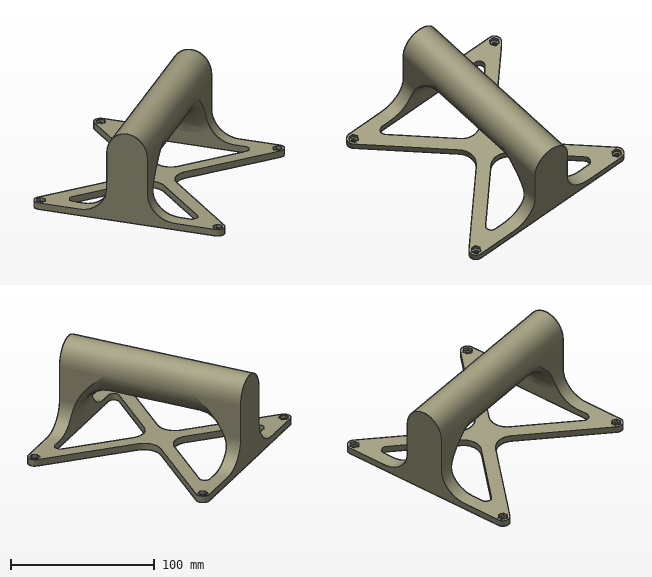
import cadquery as cq
import math

side = 140.0
height = 68.9

base_thickness = 5.0
corner_radius = 5.0
bar_width = 2 * corner_radius
crossing_radius = 12.6
window_corner_radius = 4.0

hole_diameter = 3.2
nut_across_flats = 6.0
nut_pocket_depth = 2.5

grip_width = 30.0
grip_height = 34.2
flare_radius = 20.0
grip_blend_radius = 25.0

half_side = side / 2
hole_offset = half_side - corner_radius
post_inner_y = half_side - bar_width
grip_center_z = height - grip_height / 2


def base_bar(length, angle, y=0):
    """Round-ended bar lying on the ground plane, turned about its own centre."""
    return (
        cq.Workplane("XY")
        .center(0, y)
        .slot2D(length, bar_width, angle)
        .extrude(base_thickness)
    )


def square_column(size, x=0, y=0):
    """Selector for edges centred in a square column through the base."""
    half = size / 2
    return cq.selectors.BoxSelector(
        (x - half, y - half, 0),
        (x + half, y + half, base_thickness),
    )


def make_base():
    diagonal_length = 2 * math.sqrt(2) * hole_offset + bar_width
    base = base_bar(diagonal_length, 45).union(base_bar(diagonal_length, -45))
    for y in (-hole_offset, hole_offset):
        base = base.union(base_bar(side, 0, y))

    base = base.edges("|Z").edges(square_column(2 * bar_width)).fillet(crossing_radius)

    window_corner_x = post_inner_y - math.sqrt(2) * corner_radius
    for x in (-window_corner_x, window_corner_x):
        for y in (-post_inner_y, post_inner_y):
            corner = square_column(corner_radius / 2, x, y)
            base = base.edges("|Z").edges(corner).fillet(window_corner_radius)
    return base


def make_handle_envelope():
    """Flared post outline with an elliptical top, extruded along the full handle."""
    half_width = grip_width / 2
    foot_half_width = half_width + flare_radius
    flare_top_z = base_thickness + flare_radius
    arc_inset = flare_radius * (1 - math.sqrt(0.5))
    arc_mid_x = half_width + arc_inset
    arc_mid_z = base_thickness + arc_inset
    outline = (
        cq.Workplane("XZ")
        .moveTo(-foot_half_width, 0)
        .lineTo(foot_half_width, 0)
        .lineTo(foot_half_width, base_thickness)
        .threePointArc((arc_mid_x, arc_mid_z), (half_width, flare_top_z))
        .lineTo(half_width, height)
        .lineTo(-half_width, height)
        .lineTo(-half_width, flare_top_z)
        .threePointArc((-arc_mid_x, arc_mid_z), (-foot_half_width, base_thickness))
        .close()
        .extrude(half_side, both=True)
    )
    above_center = (
        cq.Workplane("XY")
        .workplane(offset=grip_center_z)
        .rect(side, side)
        .extrude(height)
    )
    return outline.cut(above_center).union(make_grip(side))


def make_grip(length):
    return (
        cq.Workplane("XZ", origin=(0, 0, grip_center_z))
        .ellipse(grip_width / 2, grip_height / 2)
        .extrude(length / 2, both=True)
    )


def make_handle():
    wall_size = 2 * side
    handle = make_grip(2 * post_inner_y)
    for y in (-hole_offset, hole_offset):
        wall = cq.Workplane("XY").box(wall_size, bar_width, wall_size)
        handle = handle.union(wall.translate((0, y, grip_center_z)))
    handle = handle.edges("%ELLIPSE").fillet(grip_blend_radius)
    return handle.intersect(make_handle_envelope())


def cut_corner_holes(part):
    offsets = (-hole_offset, hole_offset)
    hole_centers = [(x, y) for x in offsets for y in offsets]
    nut_across_corners = nut_across_flats / math.cos(math.pi / 6)
    holes = (
        cq.Workplane("XY")
        .pushPoints(hole_centers)
        .circle(hole_diameter / 2)
        .extrude(base_thickness)
    )
    nut_pockets = (
        cq.Workplane("XY")
        .workplane(offset=base_thickness - nut_pocket_depth)
        .pushPoints(hole_centers)
        .polygon(6, nut_across_corners)
        .extrude(nut_pocket_depth)
    )
    return part.cut(holes).cut(nut_pockets)


result = cut_corner_holes(make_base().union(make_handle()))